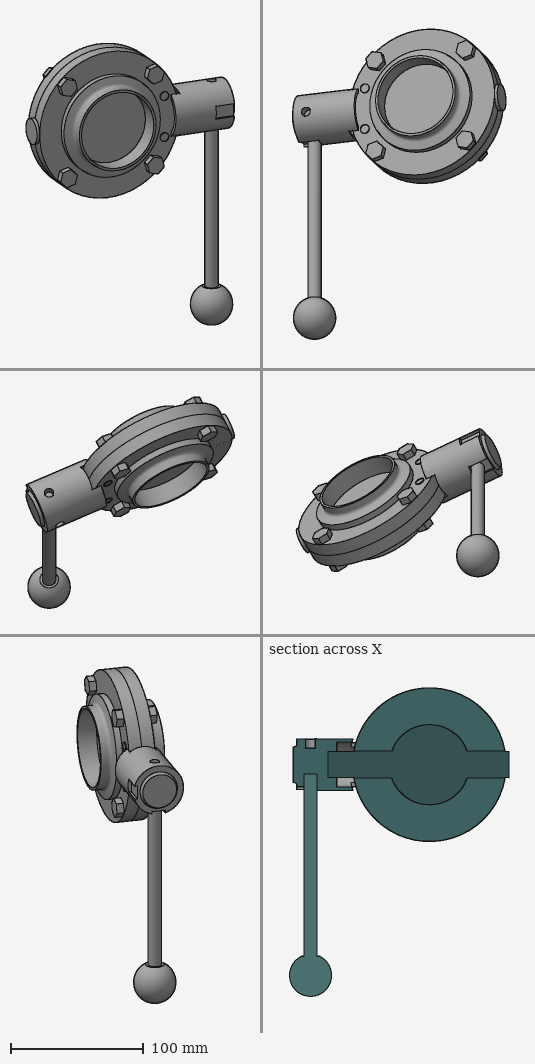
import cadquery as cq
import math


overall_length = 50.0
overall_height = 233
flange_radius = 58.0
flange_half_thickness = 10.3
collar_radius = 40.0
pipe_radius = 32.0
bore_radius = 30.0
neck_fillet = 2.8
neck_fillet_end = 19.3
cone_angle = math.radians(13)

bolt_offset = 36.0
bolt_across_flats = 12.5
bolt_head_height = 5.5
bolt_turn = 15
stop_pin_radius = 3.5
stop_pin_height = 0.7
stop_pin_y = 45.7
stop_pin_z = 16.3

shaft_radius = 10.0
shaft_lower_end = 60.0
shaft_upper_end = 77.0

rod_radius = 5.1
rod_top = -7.0
ball_radius = 16.0
lever_y = 89.7
ball_z = flange_radius - overall_height + ball_radius
ball_flat_radius = 7.0

hub_radius = 19.5
hub_wall = 2.8
hub_bore_radius = hub_radius - hub_wall
hub_start = 51.0
hub_bore_end = 70.0
hub_end = 100.2
rim_slot_radius = 60.8
cap_base_radius = 14.7
cap_top_radius = 13.3
cap_height = 2.5
index_hole_radius = 3.5
index_hole_depth = 7.0


def x_cylinder(radius, start, end):
    """Cylinder on the X axis between two X positions."""
    return cq.Workplane("YZ").workplane(offset=start).circle(radius).extrude(end - start)


def y_cylinder(radius, start, end):
    """Cylinder on the Y axis between two Y positions."""
    return cq.Workplane("XZ", origin=(0, start, 0)).circle(radius).extrude(start - end)


def flange_blank():
    """Flange, collar and pipe stub on the +X side, turned about the pipe axis."""
    pipe_end = overall_length / 2
    fillet_centre_radius = pipe_radius + neck_fillet

    def fillet_point(angle):
        return (
            neck_fillet_end - neck_fillet * math.cos(angle),
            fillet_centre_radius - neck_fillet * math.sin(angle),
        )

    cone_end = fillet_point(cone_angle)
    fillet_middle = fillet_point((cone_angle + math.pi / 2) / 2)
    collar_end = cone_end[0] - (collar_radius - cone_end[1]) * math.tan(cone_angle)
    return (
        cq.Workplane("XY")
        .moveTo(0, bore_radius)
        .lineTo(0, flange_radius)
        .lineTo(flange_half_thickness, flange_radius)
        .lineTo(flange_half_thickness, collar_radius)
        .lineTo(collar_end, collar_radius)
        .lineTo(*cone_end)
        .threePointArc(fillet_middle, (neck_fillet_end, pipe_radius))
        .lineTo(pipe_end, pipe_radius)
        .lineTo(pipe_end, bore_radius)
        .close()
        .revolve(360, (0, 0, 0), (1, 0, 0))
    )


def bolt_head(y_side, z_side):
    """Hexagonal head with one flat facing the pipe axis."""
    corner_diameter = bolt_across_flats / math.cos(math.pi / 6)
    return (
        cq.Workplane("YZ", origin=(flange_half_thickness, 0, 0))
        .polygon(6, corner_diameter)
        .extrude(bolt_head_height)
        .rotate((0, 0, 0), (1, 0, 0), y_side * z_side * bolt_turn)
        .translate((0, y_side * bolt_offset, z_side * bolt_offset))
    )


def make_body_half():
    """Body half on the +X side, with its bolt heads, stop pins and shaft groove."""
    half = flange_blank()
    stop_pin_end = flange_half_thickness + stop_pin_height
    stop_pin = x_cylinder(stop_pin_radius, flange_half_thickness, stop_pin_end)
    for z_side in (-1, 1):
        for y_side in (-1, 1):
            half = half.union(bolt_head(y_side, z_side))
        half = half.union(stop_pin.translate((0, stop_pin_y, z_side * stop_pin_z)))
    return half.cut(y_cylinder(shaft_radius, -shaft_lower_end, shaft_upper_end))


def make_disc():
    """Closed disc, as thick as the shaft, in one piece with the shaft."""
    plate = x_cylinder(bore_radius, -shaft_radius, shaft_radius)
    return plate.union(y_cylinder(shaft_radius, -shaft_lower_end, shaft_upper_end))


def make_lever():
    """Rod with a ball knob, flattened where the rod enters it."""
    flat_height = math.sqrt(ball_radius**2 - ball_flat_radius**2)
    above_flat = (
        cq.Workplane("XY", origin=(0, 0, flat_height)).circle(ball_radius).extrude(ball_radius)
    )
    ball = cq.Workplane("XY").sphere(ball_radius).cut(above_flat).translate((0, lever_y, ball_z))
    rod = cq.Workplane("XY", origin=(0, lever_y, ball_z)).circle(rod_radius).extrude(rod_top - ball_z)
    return ball.union(rod)


def lever_slot():
    """Slot in the +X side of the hub wall, as wide as the rod and open at the hub's outer end."""
    slot_start = lever_y - rod_radius
    slot_length = hub_end - slot_start
    slot = cq.Workplane("XY").box(hub_wall, slot_length, 2 * rod_radius, centered=(False, False, True))
    return slot.translate((hub_bore_radius, slot_start, 0))


def make_hub():
    """Lever hub with a tapered cap, straddling the flange rim."""
    cap_base = cq.Vector(0, hub_end, 0)
    cap_direction = cq.Vector(0, 1, 0)
    cap = cq.Solid.makeCone(cap_base_radius, cap_top_radius, cap_height, cap_base, cap_direction)
    hub = y_cylinder(hub_radius, hub_start, hub_end).union(cq.Workplane(cap))

    hub = hub.cut(y_cylinder(hub_bore_radius, hub_start, hub_bore_end))
    hub = hub.cut(x_cylinder(rim_slot_radius, -flange_half_thickness, flange_half_thickness))
    hub = hub.cut(y_cylinder(shaft_radius, hub_bore_end, shaft_upper_end))

    index_hole = x_cylinder(index_hole_radius, -hub_radius, index_hole_depth - hub_radius)
    slot_and_hole = lever_slot().union(index_hole.translate((0, lever_y, 0)))
    for quarter_turn in (0, 90):
        hub = hub.cut(slot_and_hole.rotate((0, 0, 0), (0, 1, 0), quarter_turn))

    socket_base = cq.Workplane("XY", origin=(0, lever_y, -hub_radius))
    rod_socket = socket_base.circle(rod_radius).extrude(hub_radius + rod_top)
    return hub.cut(rod_socket)


right_half = make_body_half()
left_half = right_half.mirror("YZ")
disc = make_disc()
lever = make_lever()
hub = make_hub()

result = cq.Compound.makeCompound(
    [left_half.val(), right_half.val(), disc.val(), lever.val(), hub.val()]
)